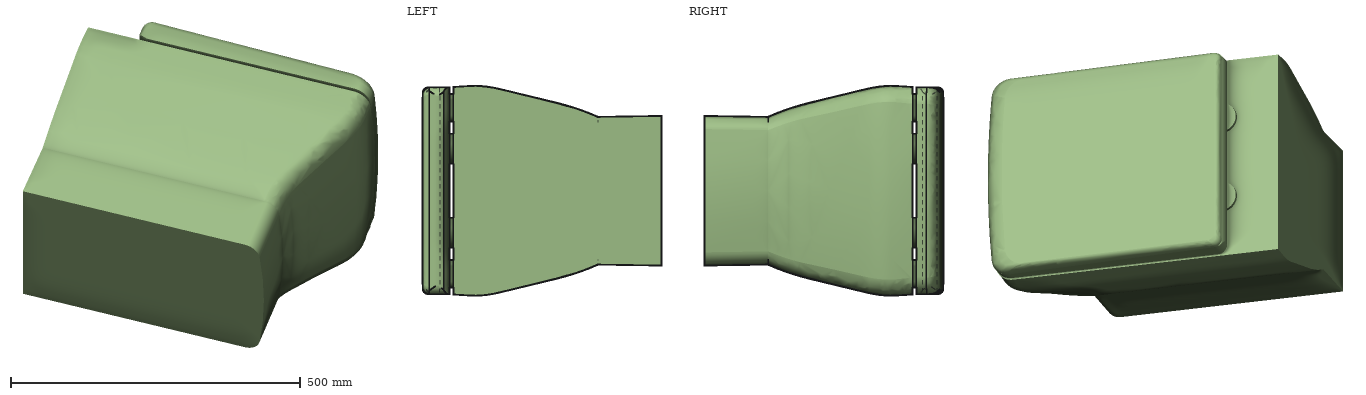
import cadquery as cq
import math


BASE_TOP = 110.0
RIM_HEIGHT = 359.5
BASE_HALF_WIDTH = 129.5
BASE_DEPTH = 438.7
NECK_HALF_WIDTH = 127.8
NECK_DEPTH = 437.5
MAX_HALF_WIDTH = 181.29
MAX_DEPTH = 522.3
RIM_HALF_WIDTH = 179.5
RIM_DEPTH = 521.3

BASE_CORNER_RADIUS = 27.0
RIM_CORNER_RADIUS = 32.0
BASE_FRONT_RADIUS = 725.0
RIM_FRONT_RADIUS = 1630.0

BOWL_LEVELS = [
    (BASE_TOP, NECK_HALF_WIDTH, NECK_DEPTH),
    (135.0, 138.0, 441.5),
    (159.0, 146.0, 450.0),
    (226.0, 162.5, 483.7),
    (293.0, 178.8, 517.0),
    (310.0, 181.0, 521.3),
    (330.0, MAX_HALF_WIDTH, MAX_DEPTH),
    (RIM_HEIGHT, RIM_HALF_WIDTH, RIM_DEPTH),
]

TOTAL_HEIGHT = 413.0
SEAT_GAP = 6.8
SEAT_BOTTOM = RIM_HEIGHT + SEAT_GAP
SEAT_HALF_WIDTH = 179.0
SEAT_FRONT = 520.0
SEAT_BACK = 85.8
SEAT_BACK_CORNER_RADIUS = 16.0
SEAT_BOTTOM_BACK = 104.0
BULGE_HEIGHT = 389.0
BULGE_END = (87.8, 376.5)
LIP_START = (97.5, 369.5)

LID_BACK = 89.0
PARTING_HEIGHT = 401.7
PARTING_SLOPE = 2.5
TOP_SLOPE = 1.1
LID_BACK_CORNER_RADIUS = 13.0
LID_BACK_INSET = 9.0
LID_SIDE_INSET = 10.0
LID_FRONT_INSET = 32.0
LID_ROUNDING_ANGLES = [0, 30, 60, 90]

HINGE_DIAMETER = 52.0
HINGE_X = 101.0
HINGE_Z = 72.6
BUMPER_LENGTH = 48.0
BUMPER_WIDTH = 20.5
BUMPER_XS = (230.7, 409.2)
BUMPER_Z = 143.5


def blend(start, end, fraction):
    return start + (end - start) * fraction


def front_curve(half_width, front, corner_radius, front_radius):
    """Tangent points (x, z) of the right-hand front corner, plus a point in the middle of its arc."""
    bow_center = front - front_radius
    reach = front_radius - corner_radius
    corner_z = half_width - corner_radius
    corner_x = bow_center + math.sqrt(reach**2 - corner_z**2)
    tilt = math.atan2(corner_z, corner_x - bow_center)
    middle = (tilt + math.pi / 2) / 2

    def on_corner(angle):
        return (corner_x + corner_radius * math.cos(angle), corner_z + corner_radius * math.sin(angle))

    return on_corner(math.pi / 2), on_corner(middle), on_corner(tilt)


def plan_wire(height, back, half_width, front, corner_radius, front_radius, back_radius=0.0):
    """Closed horizontal outline: straight sides, rounded front corners and a bowed front."""
    side, middle, bow = front_curve(half_width, front, corner_radius, front_radius)

    def point(x, z):
        return cq.Vector(x, height, z)

    def left(corner_point):
        return point(corner_point[0], -corner_point[1])

    back_z = half_width - back_radius
    back_x = back + back_radius
    nip = back_radius * (1 - math.sqrt(0.5))

    def back_corner(*corner_points):
        if back_radius == 0:
            return []
        return [cq.Edge.makeThreePointArc(*corner_points)]

    edges = [
        cq.Edge.makeLine(point(back_x, -half_width), left(side)),
        cq.Edge.makeThreePointArc(left(side), left(middle), left(bow)),
        cq.Edge.makeThreePointArc(left(bow), point(front, 0), point(*bow)),
        cq.Edge.makeThreePointArc(point(*bow), point(*middle), point(*side)),
        cq.Edge.makeLine(point(*side), point(back_x, half_width)),
        *back_corner(point(back_x, half_width), point(back + nip, half_width - nip), point(back, back_z)),
        cq.Edge.makeLine(point(back, back_z), point(back, -back_z)),
        *back_corner(point(back, -back_z), point(back + nip, nip - half_width), point(back_x, -half_width)),
    ]
    return cq.Wire.assembleEdges(edges)


def bowl_wire(height, half_width, depth):
    rise = max(0.0, (height - BASE_TOP) / (RIM_HEIGHT - BASE_TOP))
    corner_radius = blend(BASE_CORNER_RADIUS, RIM_CORNER_RADIUS, rise)
    front_radius = blend(BASE_FRONT_RADIUS, RIM_FRONT_RADIUS, rise)
    return plan_wire(height, 0.0, half_width, depth, corner_radius, front_radius)


def make_bowl():
    neck = bowl_wire(*BOWL_LEVELS[0])
    plinth = cq.Solid.makeLoft([bowl_wire(0.0, BASE_HALF_WIDTH, BASE_DEPTH), neck], True)
    flare = cq.Solid.makeLoft([bowl_wire(*level) for level in BOWL_LEVELS])
    return cq.Workplane(plinth).union(cq.Workplane(flare))


def make_seat():
    outline = plan_wire(SEAT_BOTTOM, SEAT_BACK, SEAT_HALF_WIDTH, SEAT_FRONT,
                        RIM_CORNER_RADIUS, RIM_FRONT_RADIUS, SEAT_BACK_CORNER_RADIUS)
    height = TOTAL_HEIGHT - SEAT_BOTTOM
    slab = cq.Workplane(cq.Solid.extrudeLinear(outline, [], cq.Vector(0, height, 0)))

    front_top = PARTING_HEIGHT - (SEAT_FRONT - LID_BACK) * math.tan(math.radians(PARTING_SLOPE))
    profile = (
        cq.Workplane("XY")
        .moveTo(SEAT_BOTTOM_BACK, SEAT_BOTTOM)
        .lineTo(SEAT_FRONT, SEAT_BOTTOM)
        .lineTo(SEAT_FRONT, front_top)
        .lineTo(LID_BACK, PARTING_HEIGHT)
        .threePointArc((SEAT_BACK, BULGE_HEIGHT), BULGE_END)
        .lineTo(*LIP_START)
        .close()
        .extrude(SEAT_HALF_WIDTH, both=True)
    )
    seat = slab.intersect(profile)

    under_seat = cq.Workplane("XZ", origin=(0, SEAT_BOTTOM, 0))
    hinges = (
        under_seat.pushPoints([(HINGE_X, HINGE_Z), (HINGE_X, -HINGE_Z)])
        .circle(HINGE_DIAMETER / 2)
        .extrude(SEAT_GAP)
    )
    bumper_places = [(x, z) for x in BUMPER_XS for z in (BUMPER_Z, -BUMPER_Z)]
    bumpers = under_seat.pushPoints(bumper_places).slot2D(BUMPER_LENGTH, BUMPER_WIDTH, 90).extrude(SEAT_GAP)
    return seat.union(hinges).union(bumpers)


def lid_wire(angle):
    """Outline of the lid at one angle around its rounded edge, tilted between joint and top."""
    rise = math.sin(math.radians(angle))
    inset = 1 - math.cos(math.radians(angle))
    height = blend(PARTING_HEIGHT, TOTAL_HEIGHT, rise)
    slope = blend(PARTING_SLOPE, TOP_SLOPE, rise)
    back = LID_BACK + LID_BACK_INSET * inset
    wire = plan_wire(
        height,
        back,
        SEAT_HALF_WIDTH - LID_SIDE_INSET * inset,
        SEAT_FRONT - LID_FRONT_INSET * inset,
        RIM_CORNER_RADIUS,
        RIM_FRONT_RADIUS,
        LID_BACK_CORNER_RADIUS,
    )
    return wire.rotate(cq.Vector(back, height, 0), cq.Vector(back, height, 1), -slope)


def make_lid():
    return cq.Workplane(cq.Solid.makeLoft([lid_wire(angle) for angle in LID_ROUNDING_ANGLES]))


bowl = make_bowl()
seat = make_seat()
lid = make_lid()

result = cq.Compound.makeCompound([bowl.solids().val(), seat.solids().val(), lid.val()])